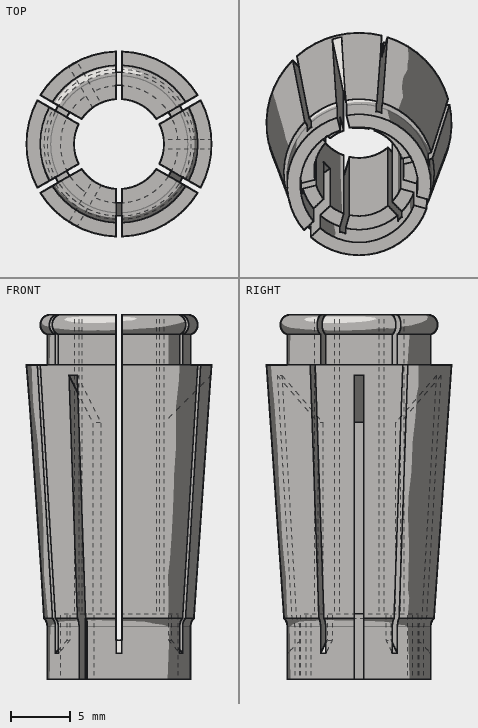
import cadquery as cq
import math

length = 30.5

base_radius = 6.0
base_height = 4.45
relief_rise = 0.67
cone_bottom_radius = 6.28
cone_top_radius = 7.75
shoulder_z = 26.3
neck_radius = base_radius
bead_radius = 0.85
bead_center_radius = 5.73

bore_radius = 3.75
base_bore_radius = 4.9
base_bore_depth = 5.5

top_slot_count = 6
base_slot_count = 3
top_slot_width = 0.5
top_slot_outer_z = 2.2
base_slot_width = 0.8
base_slot_outer_z = 25.45

cone_bottom_z = base_height + relief_rise
bead_center_z = length - bead_radius
overrun = 1.52


def revolved_body():
    """Outside of the collet as one solid of revolution."""
    bead_bottom_z = bead_center_z - math.sqrt(bead_radius**2 - (neck_radius - bead_center_radius) ** 2)
    relief_step = cone_bottom_radius - base_radius
    relief_radius = (relief_step**2 + relief_rise**2) / (2 * relief_step)
    half_angle = math.asin(relief_rise / relief_radius) / 2
    relief_mid = (
        base_radius + relief_radius * (1 - math.cos(half_angle)),
        base_height + relief_radius * math.sin(half_angle),
    )
    return (
        cq.Workplane("XZ")
        .moveTo(0, 0)
        .lineTo(base_radius, 0)
        .lineTo(base_radius, base_height)
        .threePointArc(relief_mid, (cone_bottom_radius, cone_bottom_z))
        .lineTo(cone_top_radius, shoulder_z)
        .lineTo(neck_radius, shoulder_z)
        .lineTo(neck_radius, bead_bottom_z)
        .threePointArc((bead_center_radius + bead_radius, bead_center_z), (bead_center_radius, length))
        .lineTo(0, length)
        .close()
        .revolve(360, (0, 0, 0), (0, 1, 0))
    )


def bores():
    """Through bore with a wider bore in the base."""
    through = cq.Workplane("XY").circle(bore_radius).extrude(length)
    return through.union(cq.Workplane("XY").circle(base_bore_radius).extrude(base_bore_depth))


def slot_ring(count, width, end_radius, end_z, open_z, first_angle):
    """Radial slots open at open_z, ending on a 45 degree slope through (end_radius, end_z)."""
    rise = math.copysign(1, open_z - end_z)
    outer_radius = cone_top_radius + overrun
    slot = (
        cq.Workplane("XZ")
        .moveTo(0, end_z + rise * end_radius)
        .lineTo(outer_radius, end_z + rise * (end_radius - outer_radius))
        .lineTo(outer_radius, open_z)
        .lineTo(0, open_z)
        .close()
        .extrude(width / 2, both=True)
    )
    pitch = 360 / count
    ring = cq.Workplane("XY")
    for index in range(count):
        ring = ring.add(slot.rotate((0, 0, 0), (0, 0, 1), first_angle + index * pitch))
    return ring.combine()


cone_slope = (cone_top_radius - cone_bottom_radius) / (shoulder_z - cone_bottom_z)
base_slot_outer_radius = cone_top_radius - cone_slope * (shoulder_z - base_slot_outer_z)

top_slots = slot_ring(
    top_slot_count, top_slot_width, base_radius, top_slot_outer_z, length + overrun, first_angle=30
)
base_slots = slot_ring(
    base_slot_count, base_slot_width, base_slot_outer_radius, base_slot_outer_z, -overrun, first_angle=0
)

result = revolved_body().cut(bores()).cut(top_slots).cut(base_slots)